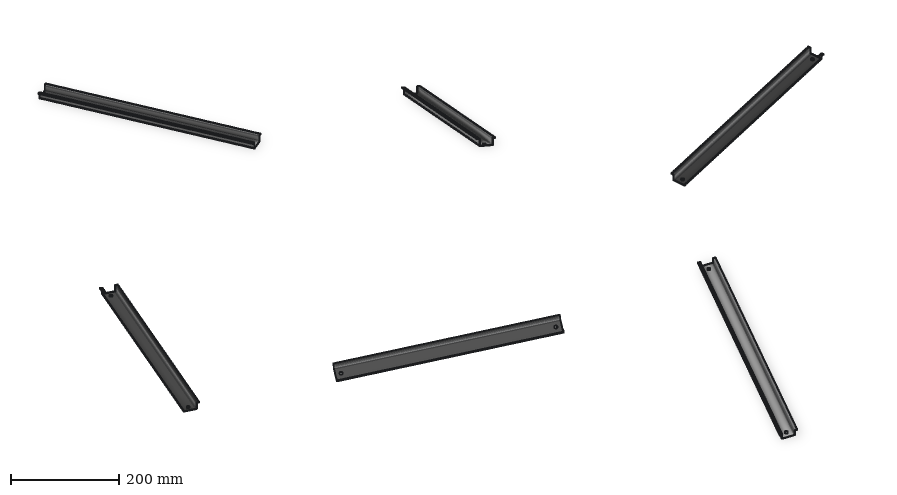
import cadquery as cq

length = 429.0
width = 35.0
height = 15.0

thickness = 1.5
floor_inner_radius = 0.5
floor_outer_radius = floor_inner_radius + thickness
flange_inner_radius = 0.8
flange_outer_radius = 1.8

channel_width = 27.0

hole_diameter = 5.5
hole_end_distance = 11.25

half_width = width / 2
half_channel = channel_width / 2
half_opening = half_channel - thickness
flange_underside = height - thickness


def make_rail():
    """Top-hat section with square corners, centred in Y, extruded along X."""
    outline = [
        (-half_channel, 0),
        (half_channel, 0),
        (half_channel, flange_underside),
        (half_width, flange_underside),
        (half_width, height),
        (half_opening, height),
        (half_opening, thickness),
        (-half_opening, thickness),
        (-half_opening, height),
        (-half_width, height),
        (-half_width, flange_underside),
        (-half_channel, flange_underside),
    ]
    return cq.Workplane("YZ").polyline(outline).close().extrude(length / 2, both=True)


def round_bend(rail, y, z, radius):
    """Fillet the mirrored pair of lengthwise edges at distance y from the middle and height z."""
    for side in (-1, 1):
        corner = cq.selectors.NearestToPointSelector((0, side * y, z))
        rail = rail.edges(corner).fillet(radius)
    return rail


def round_bends(rail):
    """Round both faces of the bends at the floor and at the flanges."""
    rail = round_bend(rail, half_channel, 0, floor_outer_radius)
    rail = round_bend(rail, half_opening, thickness, floor_inner_radius)
    rail = round_bend(rail, half_opening, height, flange_outer_radius)
    return round_bend(rail, half_channel, flange_underside, flange_inner_radius)


def drill_mounting_holes(rail):
    """Cut the plain round holes through the floor."""
    hole_x = length / 2 - hole_end_distance
    drills = (
        cq.Workplane("XY")
        .pushPoints([(-hole_x, 0), (hole_x, 0)])
        .circle(hole_diameter / 2)
        .extrude(thickness)
    )
    return rail.cut(drills)


result = drill_mounting_holes(round_bends(make_rail()))